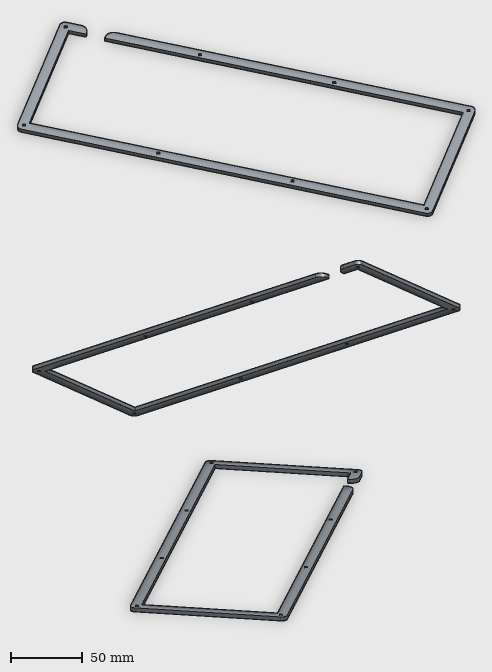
import cadquery as cq

length = 302.0
width = 111.2
thickness = 3.0
rail_width = 7.5
corner_radius = 4.0

gap_start = 20.2
gap_width = 13.5
gap_end_radius = 6.0

hole_diameter = 2.2
hole_inset = 4.5
holes_per_rail = 4

half_length = length / 2
half_width = width / 2


def make_frame():
    """Closed rectangular frame with rounded outer and sharp inner corners."""
    outer = cq.Workplane("XY").box(length, width, thickness, centered=(True, True, False))
    outer = outer.edges("|Z").fillet(corner_radius)
    opening = cq.Workplane("XY").rect(length - 2 * rail_width, width - 2 * rail_width)
    return outer.cut(opening.extrude(thickness))


def make_gap():
    """Cutter for the rear rail, flared by a convex quarter round on each side."""
    left = gap_start - half_length
    right = left + gap_width
    rail_bottom = half_width - rail_width
    arc_bottom = half_width - gap_end_radius
    arc_middle = gap_end_radius * (1 - 0.5 ** 0.5)
    return (
        cq.Workplane("XY")
        .moveTo(left, rail_bottom)
        .lineTo(right, rail_bottom)
        .lineTo(right, arc_bottom)
        .threePointArc(
            (right + arc_middle, half_width - arc_middle),
            (right + gap_end_radius, half_width),
        )
        .lineTo(left - gap_end_radius, half_width)
        .threePointArc(
            (left - arc_middle, half_width - arc_middle),
            (left, arc_bottom),
        )
        .close()
        .extrude(thickness)
    )


def make_holes():
    """Through-hole cutters in a row along each long rail."""
    hole_pitch = (length - 2 * hole_inset) / (holes_per_rail - 1)
    row_pitch = width - 2 * hole_inset
    return (
        cq.Workplane("XY")
        .rarray(hole_pitch, row_pitch, holes_per_rail, 2)
        .circle(hole_diameter / 2)
        .extrude(thickness)
    )


result = make_frame().cut(make_gap()).cut(make_holes())